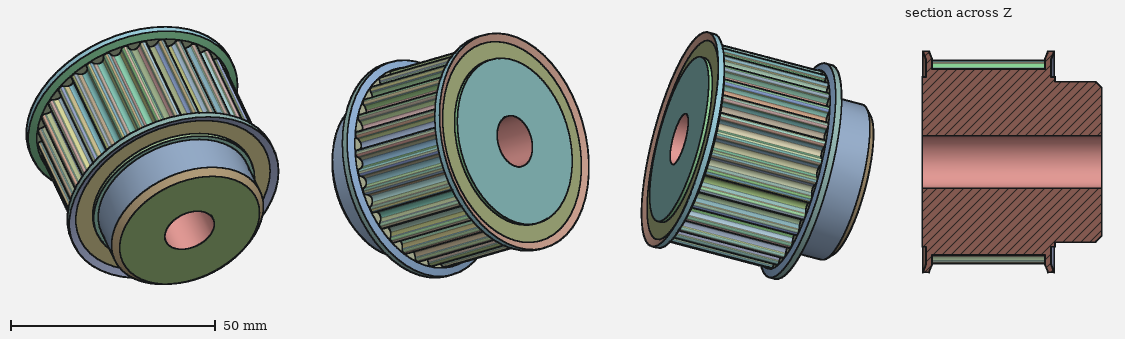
import cadquery as cq
import math

length = 43.95
bore_radius = 6.4

tooth_count = 32
tip_radius = 24.9
floor_radius = 1.2
floor_slope = 42
flank_radius = 2.25
flank_slope = 72
wall_length = 0.3
lip_radius = 0.65
cut_clearance = 0.55

flange_radius = 27.05
flange_thickness = 1.55
bend_radius = 25.1
flare = 0.75
belt_width = 27.5

shoulder_radius = 20.8
shoulder_step = 0.15
belt_start = shoulder_step + flange_thickness + flare
belt_end = belt_start + belt_width
shoulder_end = belt_end + belt_start

hub_radius = 19.65
hub_chamfer = 1.55


def disc(radius, start, end):
    return cq.Workplane("YZ", origin=(start, 0, 0)).circle(radius).extrude(end - start)


def flange(disc_x, outward):
    """Disc whose rim flares outward; disc_x is its belt-side face, outward is -1 or +1."""
    outer_x = disc_x + outward * flange_thickness
    flare_x = outward * flare
    return (
        cq.Workplane("XY")
        .moveTo(disc_x, 0)
        .lineTo(disc_x, bend_radius)
        .lineTo(disc_x + flare_x, flange_radius)
        .lineTo(outer_x + flare_x, flange_radius)
        .lineTo(outer_x, bend_radius)
        .lineTo(outer_x, 0)
        .close()
        .revolve(360, (0, 0, 0), (1, 0, 0))
    )


def arc_points(start, radius, start_slope, end_slope):
    """Middle and end of an arc that begins at start and turns between two slopes.

    A positive radius curves like a valley, a negative one like a hilltop.
    """
    def at(slope):
        first, last = math.radians(start_slope), math.radians(slope)
        return (
            start[0] + radius * (math.sin(last) - math.sin(first)),
            start[1] + radius * (math.cos(first) - math.cos(last)),
        )

    return at((start_slope + end_slope) / 2), at(end_slope)


def mirrored(point):
    return (-point[0], point[1])


def groove_cutter():
    """Round-bottomed belt groove at the +Z side, with rounded lips on the tooth tips."""
    _, floor_end = arc_points((0, 0), floor_radius, 0, floor_slope)
    flank_mid, flank_end = arc_points(floor_end, flank_radius, floor_slope, flank_slope)
    wall_angle = math.radians(flank_slope)
    wall_end = (
        flank_end[0] + wall_length * math.cos(wall_angle),
        flank_end[1] + wall_length * math.sin(wall_angle),
    )
    lip_mid, lip_end = arc_points(wall_end, -lip_radius, flank_slope, 0)

    floor_height = math.sqrt(tip_radius**2 - lip_end[0] ** 2) - lip_end[1]
    cutter_top = lip_end[1] + cut_clearance
    return (
        cq.Workplane("YZ", origin=(belt_start, 0, floor_height))
        .moveTo(-lip_end[0], cutter_top)
        .lineTo(*mirrored(lip_end))
        .threePointArc(mirrored(lip_mid), mirrored(wall_end))
        .lineTo(*mirrored(flank_end))
        .threePointArc(mirrored(flank_mid), mirrored(floor_end))
        .threePointArc((0, 0), floor_end)
        .threePointArc(flank_mid, flank_end)
        .lineTo(*wall_end)
        .threePointArc(lip_mid, lip_end)
        .lineTo(lip_end[0], cutter_top)
        .close()
        .extrude(belt_width)
    )


def toothed_rim():
    rim = disc(tip_radius, belt_start, belt_end)
    cutter = groove_cutter()
    for index in range(tooth_count):
        angle = index * 360 / tooth_count
        rim = rim.cut(cutter.rotate((0, 0, 0), (1, 0, 0), angle))
    return rim


hub = disc(hub_radius, shoulder_end, length).faces(">X").chamfer(hub_chamfer)

result = (
    toothed_rim()
    .union(flange(belt_start, -1))
    .union(flange(belt_end, 1))
    .union(disc(shoulder_radius, 0, shoulder_end))
    .union(hub)
    .cut(disc(bore_radius, 0, length))
)